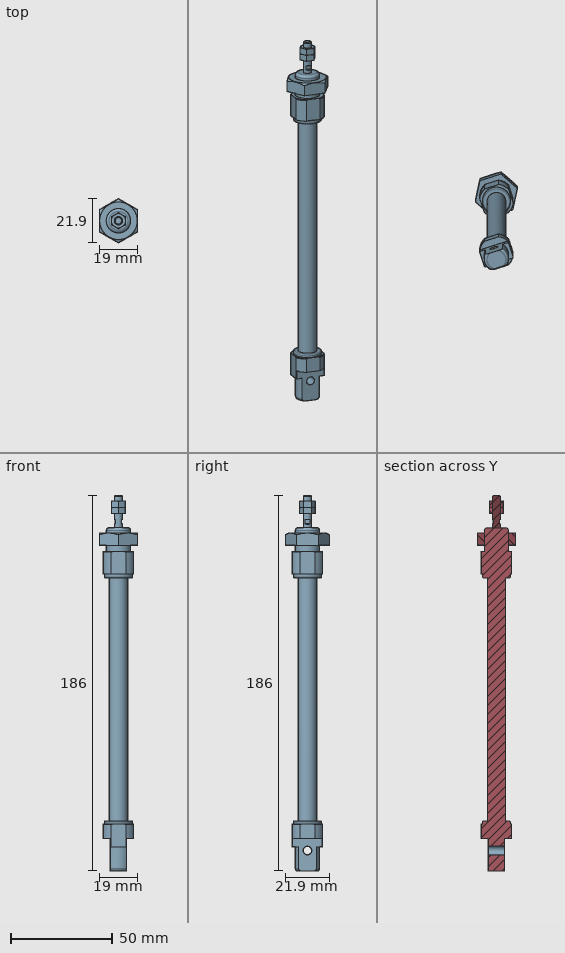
import cadquery as cq
import math

TOTAL_LENGTH = 186.0
REAR_STEP_Z = 12.0
REAR_BODY_Z = 16.2
REAR_CAP_TOP = 25.0
FRONT_CAP_BOTTOM = 145.0
SHOULDER_Z = 158.3
NECK_TOP = 170.0

TUBE_D = 9.3
CAP_WIDTH = 15.0
CAP_CORNER_D = 16.7
CAP_CHAMFER = 0.4
COLLAR_D = 14.0
FRONT_COLLAR_H = 2.0
REAR_COLLAR_H = 1.5
COLLAR_FILLET = 0.5
NECK_D = 12.0
NECK_FILLET = 1.4
TANG_THICKNESS = 8.2
PIN_HOLE_D = 4.0
PIN_HOLE_Z = 10.2

MOUNT_NUT_AF = 19.0
MOUNT_NUT_H = 6.1
MOUNT_NUT_BOTTOM = 161.3
MOUNT_NUT_FACE_D = 18.6

ROD_D = 4.0
ROD_TIP_D = 3.2
WRENCH_WIDTH = 3.2
WRENCH_BOTTOM = 172.0
WRENCH_TOP = 174.0

ROD_NUT_AF = 6.9
ROD_NUT_H = 3.2
ROD_NUT_BOTTOM = 176.9
ROD_NUT_FACE_D = 7.0
ROD_NUT_COUNT = 2

HEX_SIDES = 6
HEX_HALF_ANGLE = 180 / HEX_SIDES
CORNER_TO_FLAT = 1 / math.cos(math.radians(HEX_HALF_ANGLE))
CHAMFER_SLOPE = math.tan(math.radians(30))


def cylinder(diameter, bottom, top):
    return cq.Workplane("XY").workplane(offset=bottom).circle(diameter / 2).extrude(top - bottom)


def square_block(bottom, top):
    return cq.Workplane("XY").workplane(offset=bottom).rect(CAP_WIDTH, CAP_WIDTH).extrude(top - bottom)


def cap_block(bottom, top):
    """Square block with turned corners that carry a chamfer at the upper end."""
    turned = cylinder(CAP_CORNER_D, bottom, top).faces(">Z").chamfer(CAP_CHAMFER)
    return square_block(bottom, top).intersect(turned)


def front_cap():
    collar_top = FRONT_CAP_BOTTOM + FRONT_COLLAR_H
    collar = cylinder(COLLAR_D, FRONT_CAP_BOTTOM, collar_top).faces("<Z").edges().fillet(COLLAR_FILLET)
    neck = cylinder(NECK_D, SHOULDER_Z, NECK_TOP).faces(">Z").edges().fillet(NECK_FILLET)
    return collar.union(cap_block(collar_top, SHOULDER_Z)).union(neck)


def tang_slab(bottom, top):
    """Slab thin in X and wider than the cap in Y."""
    plane = cq.Workplane("XY").workplane(offset=bottom)
    return plane.rect(TANG_THICKNESS, 2 * CAP_WIDTH).extrude(top - bottom)


def rear_cap():
    collar_bottom = REAR_CAP_TOP - REAR_COLLAR_H
    collar = cylinder(COLLAR_D, collar_bottom, REAR_CAP_TOP).faces(">Z").edges().fillet(COLLAR_FILLET)
    tang = cylinder(NECK_D, 0, REAR_STEP_Z).faces("<Z").edges().fillet(NECK_FILLET)
    cap = tang.union(cap_block(REAR_STEP_Z, collar_bottom))
    full_section = square_block(REAR_BODY_Z, collar_bottom)
    cap = cap.intersect(tang_slab(0, REAR_BODY_Z).union(full_section))
    pin_hole = (
        cq.Workplane("YZ").center(0, PIN_HOLE_Z).circle(PIN_HOLE_D / 2).extrude(TANG_THICKNESS, both=True)
    )
    return cap.cut(pin_hole).union(collar)


def make_housing():
    tube = cylinder(TUBE_D, REAR_CAP_TOP, FRONT_CAP_BOTTOM)
    return rear_cap().union(tube).union(front_cap())


def hex_nut(across_flats, height, bore, bottom, face_d):
    """Hexagonal nut, corners on the Y axis, with a turned corner chamfer at the upper end."""
    corner_d = across_flats * CORNER_TO_FLAT
    chamfer_w = (corner_d - face_d) / 2
    chamfer_h = chamfer_w * CHAMFER_SLOPE
    envelope = cylinder(corner_d, 0, height).faces(">Z").chamfer(chamfer_h, chamfer_w)
    hexagon = cq.Workplane("XY").polygon(HEX_SIDES, corner_d).extrude(height)
    hexagon = hexagon.rotate((0, 0, 0), (0, 0, 1), HEX_HALF_ANGLE)
    nut = hexagon.intersect(envelope).cut(cylinder(bore, 0, height))
    return nut.translate((0, 0, bottom))


def make_rod():
    """Rod standing on the neck, with two opposite wrench flats that run out at 45 degrees below."""
    tip_chamfer = (ROD_D - ROD_TIP_D) / 2
    rod = cylinder(ROD_D, NECK_TOP, TOTAL_LENGTH).faces(">Z").chamfer(tip_chamfer)
    depth = (ROD_D - WRENCH_WIDTH) / 2
    for side in (1, -1):
        flat_x = side * WRENCH_WIDTH / 2
        outer_x = side * ROD_D / 2
        notch = (
            cq.Workplane("XZ")
            .polyline([
                (flat_x, WRENCH_BOTTOM),
                (flat_x, WRENCH_TOP),
                (outer_x, WRENCH_TOP),
                (outer_x, WRENCH_BOTTOM - depth),
            ])
            .close()
            .extrude(ROD_D, both=True)
        )
        rod = rod.cut(notch)
    return rod


housing = make_housing()
mounting_nut = hex_nut(MOUNT_NUT_AF, MOUNT_NUT_H, NECK_D, MOUNT_NUT_BOTTOM, MOUNT_NUT_FACE_D)
rod = make_rod()
rod_nuts = [
    hex_nut(ROD_NUT_AF, ROD_NUT_H, ROD_D, ROD_NUT_BOTTOM + i * ROD_NUT_H, ROD_NUT_FACE_D)
    for i in range(ROD_NUT_COUNT)
]

result = cq.Compound.makeCompound(
    [housing.val(), mounting_nut.val(), rod.val(), *[nut.val() for nut in rod_nuts]]
)